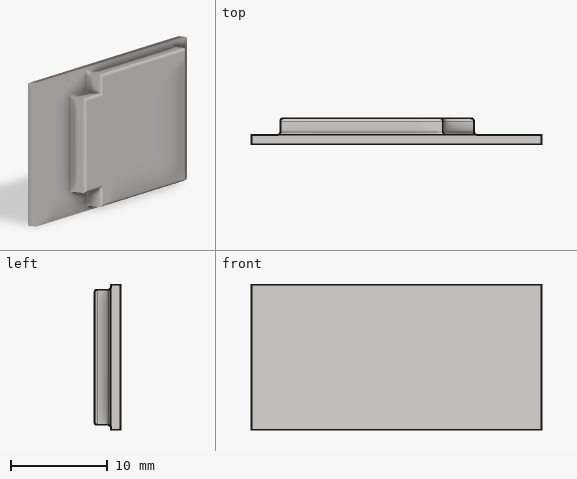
import cadquery as cq

plate_length = 30.0
plate_thickness = 1.0
plate_height = 15.0

total_depth = 2.7
raised_left = -12.0
raised_length = 20.0
tab_length = 3.2
body_margin = 0.5
tab_setback = 2.0
edge_radius = 0.3

body_length = raised_length - tab_length
body_height = plate_height - 2 * body_margin
tab_height = body_height - 2 * tab_setback


def back_block(length, height, depth):
    """Block growing from the left end of the raised area, starting at the front face."""
    return cq.Workplane("XY").box(length, depth, height, centered=(False, False, True)).translate(
        (raised_left, 0, 0)
    )


plate = cq.Workplane("XY").box(
    plate_length, plate_thickness, plate_height, centered=(True, False, True)
)

raised = back_block(body_length, body_height, total_depth).union(
    back_block(raised_length, tab_height, total_depth)
)
raised = raised.faces(">Y").edges().fillet(edge_radius)
part = plate.union(raised)

foot_zone = cq.selectors.BoxSelector(
    (raised_left - edge_radius, plate_thickness - edge_radius, -body_height / 2 - edge_radius),
    (
        raised_left + raised_length + edge_radius,
        plate_thickness + edge_radius,
        body_height / 2 + edge_radius,
    ),
)
result = part.edges(foot_zone).edges("#Y").fillet(edge_radius)